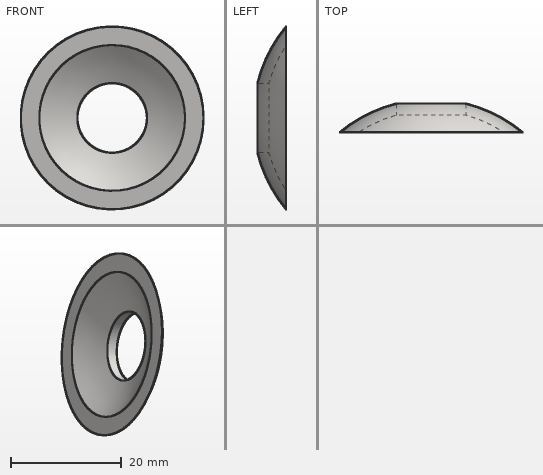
import cadquery as cq
import math

rim_diameter = 33.0
hole_diameter = 12.5
height = 5.2
wall_thickness = 2.0

rim_radius = rim_diameter / 2
hole_radius = hole_diameter / 2

centre_offset = (rim_radius**2 - hole_radius**2 - height**2) / (2 * height)
outer_sphere_radius = math.hypot(rim_radius, centre_offset)
inner_sphere_radius = outer_sphere_radius - wall_thickness


def sphere_y(sphere_radius, radius):
    """Y of a domed face at a given distance from the axis."""
    return math.sqrt(sphere_radius**2 - radius**2) - centre_offset


def domed_washer():
    """Revolve the wall section, in the XY plane, about the Y axis."""
    cavity_radius = math.sqrt(inner_sphere_radius**2 - centre_offset**2)
    outer_mid_radius = (rim_radius + hole_radius) / 2
    inner_mid_radius = (cavity_radius + hole_radius) / 2
    section = (
        cq.Workplane("XY")
        .moveTo(cavity_radius, 0)
        .lineTo(rim_radius, 0)
        .threePointArc(
            (outer_mid_radius, sphere_y(outer_sphere_radius, outer_mid_radius)),
            (hole_radius, height),
        )
        .lineTo(hole_radius, sphere_y(inner_sphere_radius, hole_radius))
        .threePointArc(
            (inner_mid_radius, sphere_y(inner_sphere_radius, inner_mid_radius)),
            (cavity_radius, 0),
        )
        .close()
    )
    return section.revolve(360, (0, 0, 0), (0, 1, 0))


result = domed_washer()